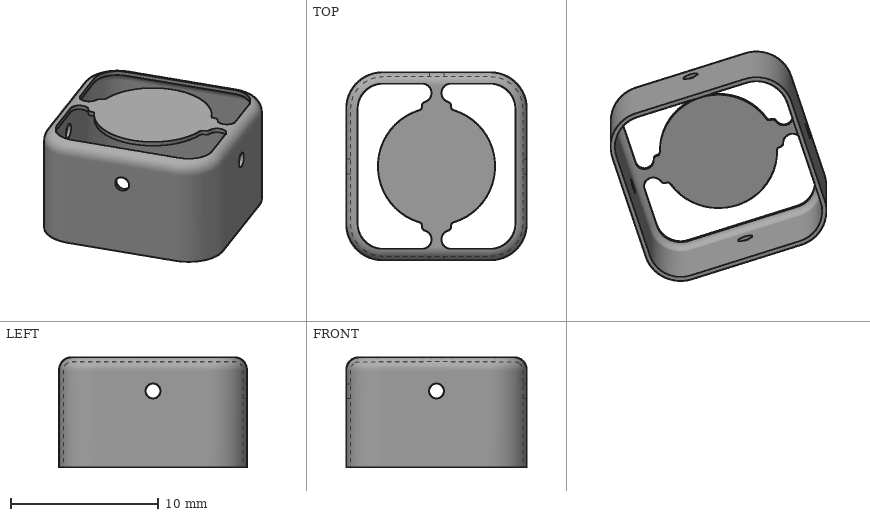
import cadquery as cq
import math

length_y = 12.8
width_x = 12.3
height = 7.5
corner_radius = 2.5
top_fillet = 0.9
wall = 0.3
lip_width = 0.8

disc_radius = 4.0
neck_half_width = 0.35
notch_radius = 0.63
shoulder_half_width = 1.0
shoulder_radius = 0.3
root_radius = 0.2

hole_diameter = 1.0
hole_drop = 2.3


def rounded_block(inset, block_height):
    """Upright block following the outer outline, set in by the given distance."""
    return (
        cq.Workplane("XY")
        .rect(width_x - 2 * inset, length_y - 2 * inset)
        .extrude(block_height)
        .edges("|Z")
        .fillet(corner_radius - inset)
    )


def toward(start, end, distance):
    """Point at the given distance from start on the line to end."""
    ratio = distance / math.dist(start, end)
    return (start[0] + ratio * (end[0] - start[0]), start[1] + ratio * (end[1] - start[1]))


def arc_middle(center, radius, start, end):
    """Middle of the shorter arc between two points of a circle."""
    chord_middle = ((start[0] + end[0]) / 2, (start[1] + end[1]) / 2)
    return toward(center, chord_middle, radius)


def half_bridge():
    """Right half of the bridge on the +Y side, from the disc centre to the rim."""
    rim_y = length_y / 2 - lip_width
    notch_x = neck_half_width + notch_radius
    notch_center = (notch_x, rim_y - notch_radius)
    notch_start = (notch_x, rim_y)
    neck_point = (neck_half_width, notch_center[1])

    shoulder_x = shoulder_half_width - shoulder_radius
    shoulder_reach = notch_radius + shoulder_radius
    shoulder_y = notch_center[1] - math.sqrt(shoulder_reach**2 - (notch_x - shoulder_x) ** 2)
    shoulder_center = (shoulder_x, shoulder_y)
    shoulder_start = toward(notch_center, shoulder_center, notch_radius)
    shoulder_end = (shoulder_half_width, shoulder_y)

    root_x = shoulder_half_width + root_radius
    root_y = math.sqrt((disc_radius + root_radius) ** 2 - root_x**2)
    root_center = (root_x, root_y)
    root_start = (shoulder_half_width, root_y)
    root_end = toward((0, 0), root_center, disc_radius)

    return (
        cq.Workplane("XY")
        .moveTo(0, 0)
        .lineTo(0, rim_y)
        .lineTo(*notch_start)
        .threePointArc(neck_point, shoulder_start)
        .threePointArc(
            arc_middle(shoulder_center, shoulder_radius, shoulder_start, shoulder_end), shoulder_end
        )
        .lineTo(*root_start)
        .threePointArc(arc_middle(root_center, root_radius, root_start, root_end), root_end)
        .close()
        .extrude(height)
    )


def top_opening():
    """Cutter for the top opening, leaving the disc and both bridges standing."""
    right_half = half_bridge()
    bridge = right_half.union(right_half.mirror("YZ"))
    disc = cq.Workplane("XY").circle(disc_radius).extrude(height)
    kept = disc.union(bridge).union(bridge.mirror("XZ"))
    return rounded_block(lip_width, height).cut(kept)


def side_hole(plane, span):
    """Cutter for a hole through both opposite walls."""
    return (
        cq.Workplane(plane)
        .center(0, height - hole_drop)
        .circle(hole_diameter / 2)
        .extrude(span, both=True)
    )


def domed_block(inset):
    """Rounded block with its top edge filleted, offset inward by the given distance."""
    block = rounded_block(inset, height - inset)
    return block.faces(">Z").edges().fillet(top_fillet - inset)


body = domed_block(0).cut(domed_block(wall))
body = body.cut(top_opening())
for plane, span in (("XZ", length_y), ("YZ", width_x)):
    body = body.cut(side_hole(plane, span))

result = body